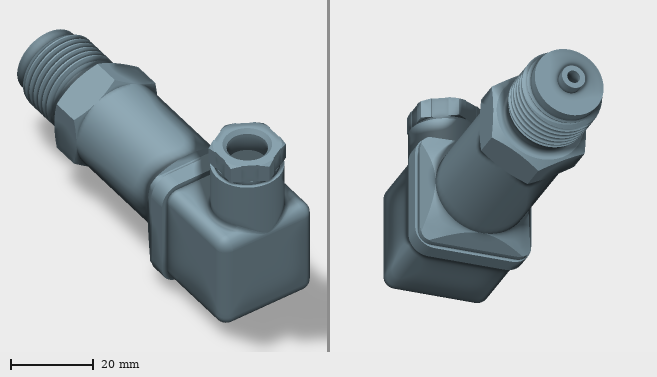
import cadquery as cq
import math


hexagon_sides = 6
hexagon_chamfer_angle = math.radians(30)

nozzle_length = 3.0
collar_length = 3.0
thread_start = nozzle_length + collar_length
thread_end = 19.3
shoulder_x = 22.7
tube_start = 32.5
tube_length = 30.0
adapter_start = tube_start + tube_length
adapter_length = 6.0
gasket_start = adapter_start + adapter_length
gasket_thickness = 4.5
housing_start = gasket_start + gasket_thickness

nozzle_diameter = 6.0
bore_diameter = 3.3
collar_diameter = 17.8
thread_diameter = 20.955
thread_root_diameter = 18.63
thread_pitch = 1.814
thread_turns = 9
groove_start_x = 4.645
groove_root_width = 0.3
groove_mouth_width = 1.5
groove_overshoot = 0.1
neck_fillet = 0.8
hex_across_flats = 24.0
hex_chamfer_diameter = 22.6

tube_diameter = hex_across_flats
adapter_width = 28.5
adapter_corner_radius = 3.2
adapter_taper_length = 4.5
adapter_cone_slope = 1.57

gasket_width = 30.0
gasket_corner_radius = 5.0
housing_width = 27.0
housing_fillet = 3.0

neck_diameter = 18.0
neck_base_fillet = 1.0
neck_setback = 0.1
nut_across_flats = 16.2
nut_height = 5.0
nut_collar_diameter = 16.0
nut_collar_height = 1.1
nut_top_z = 33.0
nut_bottom_z = nut_top_z - nut_height
neck_top_z = nut_bottom_z - nut_collar_height
nut_chamfer_diameter = 16.7
nut_recess_width = 4.1
nut_recess_depth = 0.2
cable_bore_diameter = 10.0
cable_bore_chamfer = 1.0
cable_bore_depth = nut_height + nut_collar_height

overall_length = 96.82


def corner_diameter(across_flats):
    """Diameter across the corners of a regular hexagon."""
    return across_flats / math.cos(math.pi / hexagon_sides)


gland_x = overall_length - corner_diameter(nut_across_flats) / 2
housing_end = gland_x + neck_diameter / 2 + neck_setback


def across_x(x):
    """Workplane facing +X at the given station; its local axes are Y and Z."""
    return cq.Workplane("YZ", origin=(x, 0, 0))


def turned(profile):
    """Solid of revolution about X from (x, radius) points."""
    return cq.Workplane("XY").polyline(profile).close().revolve(360, (0, 0), (1, 0))


def rounded_block(x, length, width, corner_radius):
    """Square block along X with rounded long edges."""
    return across_x(x).rect(width, width).extrude(length).edges("|X").fillet(corner_radius)


def thread_groove():
    """Helical cutter for the thread, wound about X."""
    root_radius = thread_root_diameter / 2
    mouth_radius = thread_diameter / 2 + groove_overshoot
    helix = cq.Wire.makeHelix(thread_pitch, thread_turns * thread_pitch, root_radius)
    section = [
        (root_radius, -groove_root_width / 2),
        (mouth_radius, -groove_mouth_width / 2),
        (mouth_radius, groove_mouth_width / 2),
        (root_radius, groove_root_width / 2),
    ]
    cutter = cq.Workplane("XZ").polyline(section).close().sweep(cq.Workplane(obj=helix), isFrenet=True)
    return cutter.rotate((0, 0, 0), (0, 1, 0), 90).translate((groove_start_x, 0, 0))


def thread():
    """Threaded length with chamfered ends, cut from a longer grooved blank so the groove runs out."""
    collar_radius = collar_diameter / 2
    crest_radius = thread_diameter / 2
    chamfer = crest_radius - collar_radius
    blank_length = thread_end - thread_start + 2 * thread_pitch
    blank = across_x(thread_start - thread_pitch).circle(crest_radius).extrude(blank_length)
    envelope = turned([
        (thread_start, 0),
        (thread_start, collar_radius),
        (thread_start + chamfer, crest_radius),
        (thread_end - chamfer, crest_radius),
        (thread_end, collar_radius),
        (thread_end, 0),
    ])
    return blank.cut(thread_groove()).intersect(envelope)


def make_fitting():
    """Nozzle, collar, thread, undercut neck and hexagon in one piece, bored along X."""
    collar_radius = collar_diameter / 2
    nozzle = across_x(0).circle(nozzle_diameter / 2).extrude(nozzle_length)
    collar = across_x(nozzle_length).circle(collar_radius).extrude(collar_length)
    neck = (
        cq.Workplane("XY")
        .moveTo(thread_end, 0)
        .lineTo(thread_end, collar_radius)
        .lineTo(shoulder_x - neck_fillet, collar_radius)
        .radiusArc((shoulder_x, collar_radius + neck_fillet), -neck_fillet)
        .lineTo(shoulder_x, 0)
        .close()
        .revolve(360, (0, 0), (1, 0))
    )
    bore = across_x(0).circle(bore_diameter / 2).extrude(tube_start)
    return nozzle.union(collar).union(thread()).union(neck).union(hexagon()).cut(bore)


def hexagon():
    """Wrench hexagon, corners on Z, with conical chamfers on both faces."""
    length = tube_start - shoulder_x
    corner_radius = corner_diameter(hex_across_flats) / 2
    front_radius = hex_chamfer_diameter / 2
    back_radius = tube_diameter / 2
    front_depth = (corner_radius - front_radius) * math.tan(hexagon_chamfer_angle)
    back_depth = (corner_radius - back_radius) * math.tan(hexagon_chamfer_angle)
    prism = across_x(shoulder_x).polygon(hexagon_sides, 2 * corner_radius).extrude(length)
    prism = prism.rotate((0, 0, 0), (1, 0, 0), 90)
    envelope = turned([
        (shoulder_x, 0),
        (shoulder_x, front_radius),
        (shoulder_x + front_depth, corner_radius),
        (tube_start - back_depth, corner_radius),
        (tube_start, back_radius),
        (tube_start, 0),
    ])
    return prism.intersect(envelope)


def make_tube():
    return across_x(tube_start).circle(tube_diameter / 2).extrude(tube_length)


def make_adapter():
    """Square block whose front tapers to the tube: four slanted flats with a cone across the corners."""
    block = rounded_block(adapter_start, adapter_length, adapter_width, adapter_corner_radius)
    pyramid = (
        across_x(adapter_start)
        .rect(tube_diameter, tube_diameter)
        .workplane(offset=adapter_taper_length)
        .rect(adapter_width, adapter_width)
        .loft(ruled=True)
    )
    straight = across_x(adapter_start + adapter_taper_length).rect(adapter_width, adapter_width)
    straight = straight.extrude(adapter_length - adapter_taper_length)
    start_radius = tube_diameter / 2
    end_radius = start_radius + adapter_cone_slope * adapter_length
    cone = turned([
        (adapter_start, 0),
        (adapter_start, start_radius),
        (gasket_start, end_radius),
        (gasket_start, 0),
    ])
    return block.intersect(pyramid.union(straight)).intersect(cone)


def make_gasket():
    return rounded_block(gasket_start, gasket_thickness, gasket_width, gasket_corner_radius)


def make_housing():
    """Connector box with the gland neck standing on its top face."""
    length = housing_end - housing_start
    box = rounded_block(housing_start, length, housing_width, housing_fillet)
    box = box.faces(">X").edges().fillet(housing_fillet)
    neck_radius = neck_diameter / 2
    neck = cq.Workplane("XY", origin=(gland_x, 0, 0)).circle(neck_radius).extrude(neck_top_z)
    half_reach = neck_radius - neck_base_fillet
    junction = cq.selectors.BoxSelector(
        (gland_x - neck_radius, -half_reach, housing_width / 2 - housing_fillet / 2),
        (gland_x + neck_radius, half_reach, housing_width / 2 + neck_base_fillet),
    )
    return box.union(neck).edges(junction).fillet(neck_base_fillet)


def make_gland_nut():
    """Hexagonal gland nut, corners on X, with shallow recesses in its flats and a cable bore."""
    corner_radius = corner_diameter(nut_across_flats) / 2
    top_radius = nut_chamfer_diameter / 2
    chamfer_depth = (corner_radius - top_radius) * math.tan(hexagon_chamfer_angle)
    bottom = cq.Workplane("XY", origin=(0, 0, nut_bottom_z))
    nut = bottom.polygon(hexagon_sides, 2 * corner_radius).extrude(nut_height)
    envelope = (
        cq.Workplane("XZ")
        .polyline([
            (0, nut_bottom_z),
            (corner_radius, nut_bottom_z),
            (corner_radius, nut_top_z - chamfer_depth),
            (top_radius, nut_top_z),
            (0, nut_top_z),
        ])
        .close()
        .revolve(360, (0, 0), (0, 1))
    )
    nut = nut.intersect(envelope)
    recess = (
        bottom.center(0, nut_across_flats / 2)
        .rect(nut_recess_width, 2 * nut_recess_depth)
        .extrude(nut_height)
    )
    for flat in range(hexagon_sides):
        turn = 360 / hexagon_sides * flat
        nut = nut.cut(recess.rotate((0, 0, 0), (0, 0, 1), turn))
    collar = cq.Workplane("XY", origin=(0, 0, neck_top_z)).circle(nut_collar_diameter / 2)
    nut = nut.union(collar.extrude(nut_collar_height))
    bore = cq.Workplane("XY", origin=(0, 0, nut_top_z)).circle(cable_bore_diameter / 2)
    nut = nut.cut(bore.extrude(-cable_bore_depth))
    bore_rim = nut.faces(">Z").edges("%CIRCLE").edges(cq.selectors.RadiusNthSelector(0))
    nut = bore_rim.chamfer(cable_bore_chamfer)
    return nut.translate((gland_x, 0, 0))


fitting = make_fitting()
tube = make_tube()
adapter = make_adapter()
gasket = make_gasket()
housing = make_housing()
gland_nut = make_gland_nut()

result = cq.Compound.makeCompound([
    fitting.val(),
    tube.val(),
    adapter.val(),
    gasket.val(),
    housing.val(),
    gland_nut.val(),
])